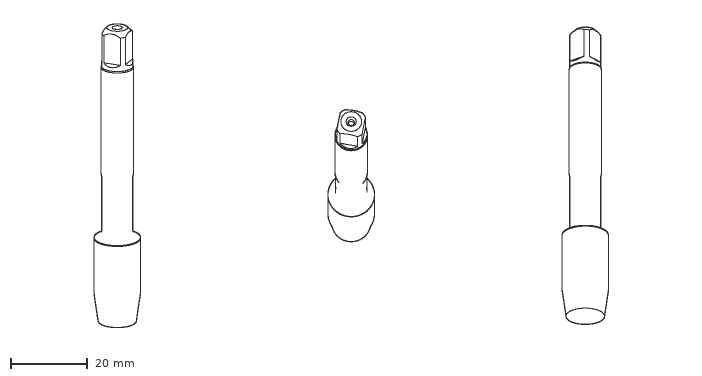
import cadquery as cq
import math

TOTAL_LENGTH = 82.0
HEAD_DIAMETER = 12.2
HEAD_TIP_DIAMETER = 10.1
LEAD_LENGTH = 7.8
HEAD_LENGTH = 23.1

COLLAR_DIAMETER = 12.1
COLLAR_HEIGHT = 0.25
FLARE_ANGLE = math.radians(30)
FLARE_FILLET_RADIUS = 1.5
NECK_DIAMETER = 8.2
SHANK_DIAMETER = 8.5
NECK_TOP_Z = 40.4
SHANK_BOTTOM_Z = 41.2
SHANK_TOP_Z = 70.9
DRIVE_BOTTOM_Z = 71.25
SQUARE_BOTTOM_Z = 73.0
SQUARE_WIDTH = 6.7
DRIVE_CHAMFER = 1.4

CENTER_MOUTH_DIAMETER = 2.6
CENTER_DRILL_DIAMETER = 1.6
CENTER_DRILL_DEPTH = 2.5
CENTER_CONE_ANGLE = math.radians(60)
DRILL_POINT_ANGLE = math.radians(120)


def revolve_about_z(profile):
    """Revolve a closed XZ profile a full turn about the Z axis."""
    return profile.close().revolve(360, (0, 0, 0), (0, 1, 0))


def make_head():
    """Cylinder with a tapered lead at its lower end."""
    radius = HEAD_DIAMETER / 2
    profile = (
        cq.Workplane("XZ")
        .lineTo(HEAD_TIP_DIAMETER / 2, 0)
        .lineTo(radius, LEAD_LENGTH)
        .lineTo(radius, HEAD_LENGTH)
        .lineTo(0, HEAD_LENGTH)
    )
    return revolve_about_z(profile)


def make_round_shank():
    """Round shank, before the square and the center hole are cut."""
    collar_radius = COLLAR_DIAMETER / 2
    collar_top = HEAD_LENGTH + COLLAR_HEIGHT
    neck_radius = NECK_DIAMETER / 2
    shank_radius = SHANK_DIAMETER / 2

    fillet_turn = math.pi / 2 - FLARE_ANGLE
    fillet_foot_radius = neck_radius + FLARE_FILLET_RADIUS * (1 - math.cos(fillet_turn))
    flare_rise = (collar_radius - fillet_foot_radius) * math.tan(FLARE_ANGLE)
    fillet_foot_z = collar_top + flare_rise
    fillet_top_z = fillet_foot_z + FLARE_FILLET_RADIUS * math.sin(fillet_turn)
    fillet_middle = (
        neck_radius + FLARE_FILLET_RADIUS * (1 - math.cos(fillet_turn / 2)),
        fillet_top_z - FLARE_FILLET_RADIUS * math.sin(fillet_turn / 2),
    )

    profile = (
        cq.Workplane("XZ")
        .moveTo(0, HEAD_LENGTH)
        .lineTo(collar_radius, HEAD_LENGTH)
        .lineTo(collar_radius, collar_top)
        .lineTo(fillet_foot_radius, fillet_foot_z)
        .threePointArc(fillet_middle, (neck_radius, fillet_top_z))
        .lineTo(neck_radius, NECK_TOP_Z)
        .lineTo(shank_radius, SHANK_BOTTOM_Z)
        .lineTo(shank_radius, SHANK_TOP_Z)
        .lineTo(neck_radius, DRIVE_BOTTOM_Z)
        .lineTo(neck_radius, TOTAL_LENGTH - DRIVE_CHAMFER)
        .lineTo(neck_radius - DRIVE_CHAMFER, TOTAL_LENGTH)
        .lineTo(0, TOTAL_LENGTH)
    )
    return revolve_about_z(profile)


def make_flat_cutter():
    """Prism that cuts one drive flat on +X, with a 45 degree run-out below it."""
    flat_x = SQUARE_WIDTH / 2
    reach = SHANK_DIAMETER / 2 - flat_x
    return (
        cq.Workplane("XZ")
        .moveTo(flat_x, SQUARE_BOTTOM_Z)
        .lineTo(flat_x + reach, SQUARE_BOTTOM_Z - reach)
        .lineTo(flat_x + reach, TOTAL_LENGTH)
        .lineTo(flat_x, TOTAL_LENGTH)
        .close()
        .extrude(SHANK_DIAMETER / 2, both=True)
    )


def make_center_hole():
    """Countersunk center hole with a conical bottom."""
    mouth_radius = CENTER_MOUTH_DIAMETER / 2
    drill_radius = CENTER_DRILL_DIAMETER / 2
    cone_depth = (mouth_radius - drill_radius) / math.tan(CENTER_CONE_ANGLE / 2)
    point_depth = drill_radius / math.tan(DRILL_POINT_ANGLE / 2)
    drill_bottom_z = TOTAL_LENGTH - CENTER_DRILL_DEPTH
    profile = (
        cq.Workplane("XZ")
        .moveTo(0, TOTAL_LENGTH)
        .lineTo(mouth_radius, TOTAL_LENGTH)
        .lineTo(drill_radius, TOTAL_LENGTH - cone_depth)
        .lineTo(drill_radius, drill_bottom_z)
        .lineTo(0, drill_bottom_z - point_depth)
    )
    return revolve_about_z(profile)


def make_shank():
    """Shank with a square drive and a center hole at its upper end."""
    shank = make_round_shank()
    flat_cutter = make_flat_cutter()
    for angle in (0, 90, 180, 270):
        shank = shank.cut(flat_cutter.rotate((0, 0, 0), (0, 0, 1), angle))
    return shank.cut(make_center_hole())


head = make_head()
shank = make_shank()

result = cq.Compound.makeCompound([head.val(), shank.val()])